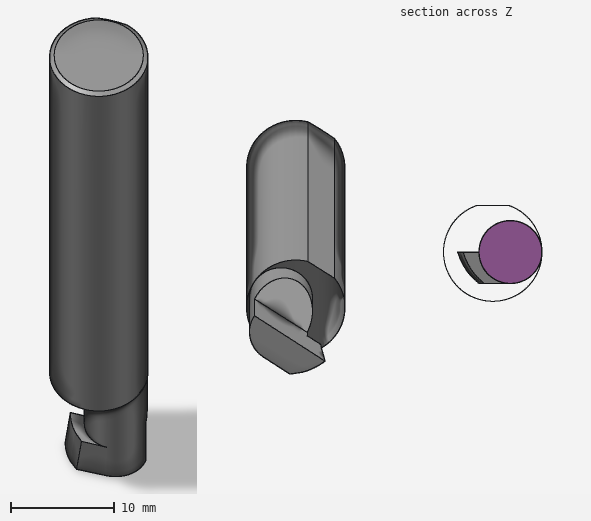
import cadquery as cq
import math


overall_length = 63.5
shank_diameter = 9.525
shank_length = 50.8
shank_depth_over_flat = 9.27
chamfer_width = 0.45
chamfer_height = 0.25

neck_diameter = 6.1
runout_length = 6.35
runout_angle = 45.0

head_height = 5.08
tip_reach = 3.4
side_relief_angle = 6.0
end_edge_angle = 2.0
end_clearance_angle = 6.0
flank_radius = 6.1
flank_start_angle = 16.0
flank_end_angle = 40.0
heel_angle = 46.0

shank_radius = shank_diameter / 2
shoulder_z = overall_length - shank_length
neck_radius = neck_diameter / 2
neck_center_x = shank_radius - neck_radius
runout_end_z = shoulder_z - runout_length


def make_shank():
    """Round shank with a chamfered top and a flat along its +Y side."""
    shank = (
        cq.Workplane("XZ")
        .moveTo(0, shoulder_z)
        .lineTo(-shank_radius, shoulder_z)
        .lineTo(-shank_radius, overall_length - chamfer_height)
        .lineTo(-shank_radius + chamfer_width, overall_length)
        .lineTo(0, overall_length)
        .close()
        .revolve(360, (0, 0), (0, 1))
    )
    keep = cq.Workplane("XY").box(
        shank_diameter, shank_depth_over_flat, overall_length, centered=(True, False, False)
    )
    return shank.intersect(keep.translate((0, -shank_radius, 0)))


def make_neck():
    """Neck tangent to the shank's +X side, sloping down to a half round at y = 0."""
    neck = cq.Workplane("XY").center(neck_center_x, 0).circle(neck_radius).extrude(shoulder_z)
    runout_rise = neck_diameter * math.tan(math.radians(runout_angle))
    relief = (
        cq.Workplane("YZ")
        .polyline([
            (0, 0),
            (neck_diameter, 0),
            (neck_diameter, runout_end_z + runout_rise),
            (0, runout_end_z),
        ])
        .close()
        .extrude(shank_diameter, both=True)
    )
    return neck.cut(relief)


def flank_point(tip_x, tangent_angle):
    """Point on the flank arc where its tangent makes the given angle with -Y."""
    start = math.radians(flank_start_angle)
    angle = math.radians(tangent_angle)
    return (
        tip_x + flank_radius * (math.cos(start) - math.cos(angle)),
        -flank_radius * (math.sin(angle) - math.sin(start)),
    )


def draw_head_outline(plane, tip_x):
    """Close the outline of the cutting head on a plane, for a tip at the given X."""
    arc_middle = flank_point(tip_x, (flank_start_angle + flank_end_angle) / 2)
    arc_end = flank_point(tip_x, flank_end_angle)
    heel_run = (neck_radius + arc_end[1]) * math.tan(math.radians(heel_angle))
    return (
        plane.moveTo(tip_x, 0)
        .threePointArc(arc_middle, arc_end)
        .lineTo(arc_end[0] + heel_run, -neck_radius)
        .lineTo(neck_center_x, -neck_radius)
        .lineTo(neck_center_x, 0)
        .close()
    )


def make_head():
    """Cutting head whose curved flank leans back toward the neck as it rises."""
    lean = head_height * math.tan(math.radians(side_relief_angle))
    bottom = draw_head_outline(cq.Workplane("XY"), -tip_reach)
    both_ends = draw_head_outline(bottom.workplane(offset=head_height), -tip_reach + lean)
    return both_ends.loft(ruled=True)


def make_end_cutter():
    """Block whose slanted top trims the end, rising from the tip toward +X and -Y."""
    size = overall_length
    return (
        cq.Workplane("XY")
        .box(size, size, size, centered=(True, True, False))
        .translate((0, 0, -size))
        .rotate((0, 0, 0), (1, 0, 0), -end_clearance_angle)
        .rotate((0, 0, 0), (0, 1, 0), -end_edge_angle)
        .translate((-tip_reach, 0, 0))
    )


working_end = make_neck().union(make_head()).cut(make_end_cutter())
result = make_shank().union(working_end)